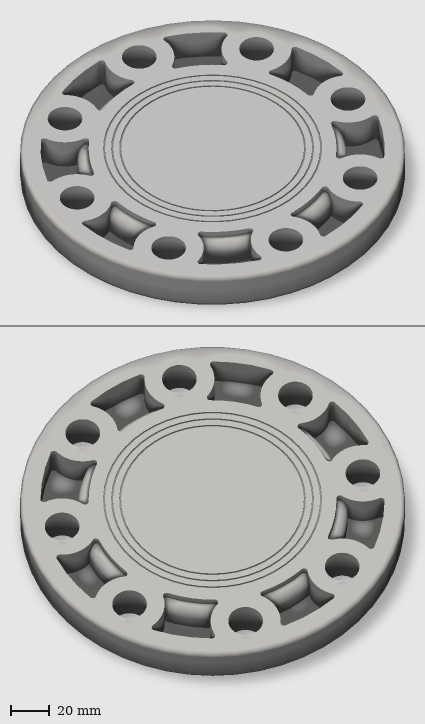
import cadquery as cq
import math

flange_diameter = 199.9
thickness = 20.0
rim_fillet = 2.4

bolt_count = 8
bolt_circle_radius = 80.0
bolt_hole_diameter = 18.0

groove_inner_diameters = [95.0, 103.3, 111.7]
groove_width = 1.0
groove_depth = 1.0

pocket_inner_radius = 64.4
pocket_outer_radius = 89.4
boss_radius = 18.2
floor_thickness = 3.0
pocket_corner_radius = 1.8

shoulder_radius = 5.8
shoulder_top = thickness - 4.0


def ring(inner_radius, outer_radius, depth):
    """Flat ring about the Z axis, reaching down from the top face by `depth`."""
    return (
        cq.Workplane("XY")
        .workplane(offset=thickness - depth)
        .circle(outer_radius)
        .circle(inner_radius)
        .extrude(depth)
    )


def bolt_cylinders(radius):
    """Full-height cylinders, one at each bolt position."""
    return (
        cq.Workplane("XY")
        .polarArray(bolt_circle_radius, 0, 360, bolt_count)
        .circle(radius)
        .extrude(thickness)
    )


def shoulder():
    """Ring with a convex quarter-round top edge, starting at the pockets' inner wall."""
    outer_radius = pocket_inner_radius + shoulder_radius
    arc_center_height = shoulder_top - shoulder_radius
    arc_mid_offset = shoulder_radius * math.sqrt(0.5)
    arc_middle = (pocket_inner_radius + arc_mid_offset, arc_center_height + arc_mid_offset)
    return (
        cq.Workplane("XZ")
        .moveTo(pocket_inner_radius, 0)
        .lineTo(outer_radius, 0)
        .lineTo(outer_radius, arc_center_height)
        .threePointArc(arc_middle, (pocket_inner_radius, shoulder_top))
        .close()
        .revolve(360, (0, 0, 0), (0, 1, 0))
    )


def pockets():
    """Ring interrupted by the bolt bosses, with rounded corners and the shoulder left standing."""
    pocket_ring = ring(pocket_inner_radius, pocket_outer_radius, thickness - floor_thickness)
    separate_pockets = pocket_ring.cut(bolt_cylinders(boss_radius))
    rounded_pockets = separate_pockets.edges("|Z").fillet(pocket_corner_radius)
    return rounded_pockets.cut(shoulder())


result = cq.Workplane("XY").circle(flange_diameter / 2).extrude(thickness)
result = result.faces("<Z or >Z").edges().fillet(rim_fillet)

result = result.cut(bolt_cylinders(bolt_hole_diameter / 2))

for inner_diameter in groove_inner_diameters:
    inner_radius = inner_diameter / 2
    result = result.cut(ring(inner_radius, inner_radius + groove_width, groove_depth))

result = result.cut(pockets())